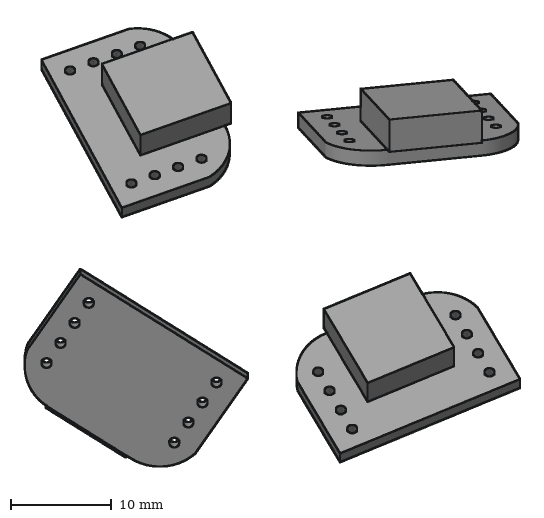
import cadquery as cq

board_width = 20.0
board_depth = 13.48
board_thickness = 1.6
side_height = 9.52
back_edge_width = 9.6
corner_radius = 5.2

hole_diameter = 1.0
hole_pitch = 2.55
holes_per_row = 4
row_spacing = 15.25
first_hole_y = 2.08

module_width = 9.6
module_depth = 9.85
module_height = 3.4
module_overhang = 0.68


def make_board():
    half_width = board_width / 2
    half_back = back_edge_width / 2
    outline = (
        cq.Workplane("XY")
        .moveTo(-half_width, 0)
        .lineTo(half_width, 0)
        .lineTo(half_width, side_height)
        .radiusArc((half_back, board_depth), -corner_radius)
        .lineTo(-half_back, board_depth)
        .radiusArc((-half_width, side_height), -corner_radius)
        .close()
    )
    hole_centers = [
        (side * row_spacing / 2, first_hole_y + index * hole_pitch)
        for side in (-1, 1)
        for index in range(holes_per_row)
    ]
    holes = (
        cq.Workplane("XY")
        .pushPoints(hole_centers)
        .circle(hole_diameter / 2)
        .extrude(board_thickness)
    )
    return outline.extrude(board_thickness).cut(holes)


def make_module():
    back_y = board_depth + module_overhang
    return (
        cq.Workplane("XY")
        .workplane(offset=board_thickness)
        .center(0, back_y - module_depth / 2)
        .rect(module_width, module_depth)
        .extrude(module_height)
    )


board = make_board()
module = make_module()
result = cq.Compound.makeCompound([board.val(), module.val()])